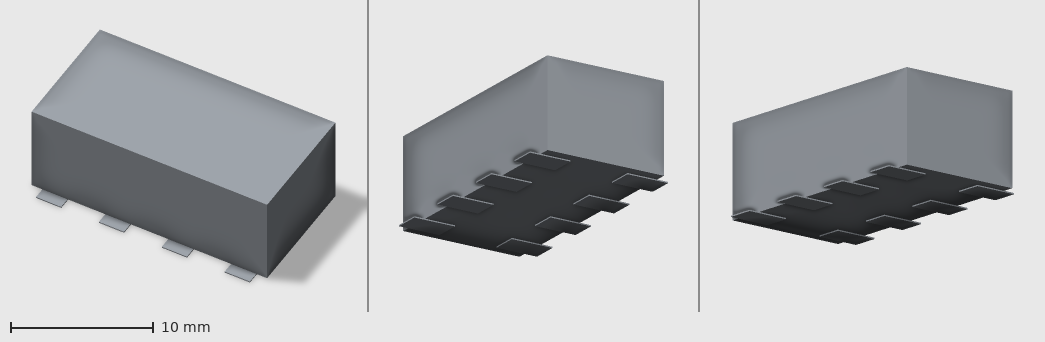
import cadquery as cq

HOUSING_LENGTH = 19.05
HOUSING_WIDTH = 9.64
HOUSING_HEIGHT = 7.1

PADS_PER_SIDE = 4
PAD_PITCH = 5.09
PAD_WIDTH = 2.04
PAD_LENGTH = 3.35
PAD_THICKNESS = 0.1
PAD_SPAN = 11.43


def make_housing():
    """Block centred on the Z axis with its underside at Z = 0."""
    return cq.Workplane("XY").box(
        HOUSING_LENGTH, HOUSING_WIDTH, HOUSING_HEIGHT, centered=(True, True, False)
    )


def make_pad(x, side):
    """Pad centred at x, with its top face on the housing underside; side is -1 or 1 along Y."""
    y = side * (PAD_SPAN - PAD_LENGTH) / 2
    return (
        cq.Workplane("XY")
        .box(PAD_WIDTH, PAD_LENGTH, PAD_THICKNESS, centered=(True, True, False))
        .translate((x, y, -PAD_THICKNESS))
    )


housing = make_housing()

pads = []
for side in (-1, 1):
    for index in range(PADS_PER_SIDE):
        pad_x = (index - (PADS_PER_SIDE - 1) / 2) * PAD_PITCH
        pads.append(make_pad(pad_x, side))

result = cq.Compound.makeCompound([housing.val(), *[pad.val() for pad in pads]])